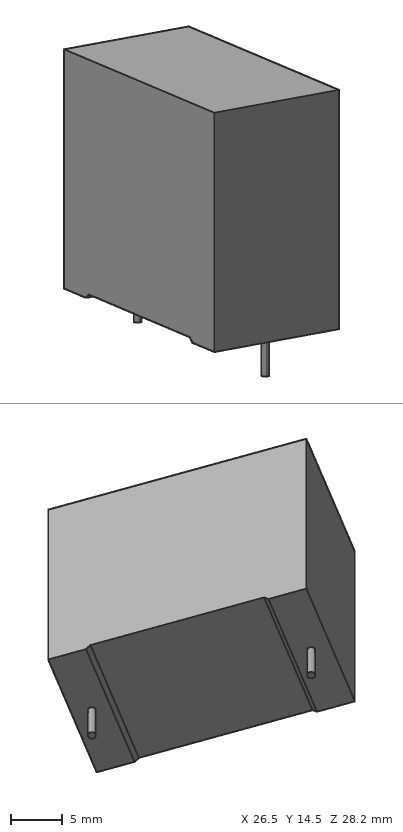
import cadquery as cq

length = 26.5
width = 14.5
total_height = 28.2

lead_diameter = 0.8
lead_pitch = 22.5
lead_length = 4.0
bridge_height = 2.82
bend_radius = lead_diameter

recess_height = 0.45
recess_length = 18.72

housing_height = total_height - lead_length


def make_recess():
    """Full-width cutter for the recess, narrower at its roof."""
    half_bottom = recess_length / 2
    half_roof = half_bottom - recess_height
    outline = [
        (-half_bottom, 0),
        (-half_roof, recess_height),
        (half_roof, recess_height),
        (half_bottom, 0),
    ]
    return cq.Workplane("XZ").polyline(outline).close().extrude(width / 2, both=True)


def make_lead():
    """One round wire bent into an upside-down U."""
    leg_x = lead_pitch / 2
    centreline = (
        cq.Workplane("XZ")
        .moveTo(-leg_x, -lead_length)
        .lineTo(-leg_x, bridge_height - bend_radius)
        .radiusArc((-leg_x + bend_radius, bridge_height), bend_radius)
        .lineTo(leg_x - bend_radius, bridge_height)
        .radiusArc((leg_x, bridge_height - bend_radius), bend_radius)
        .lineTo(leg_x, -lead_length)
    )
    section = cq.Workplane("XY", origin=(-leg_x, 0, -lead_length)).circle(lead_diameter / 2)
    return section.sweep(centreline)


def make_housing(wire):
    """Block with the recess underneath and a matching channel for the wire."""
    block = cq.Workplane("XY").box(length, width, housing_height, centered=(True, True, False))
    return block.cut(make_recess()).cut(wire)


lead = make_lead()
housing = make_housing(lead)

result = cq.Compound.makeCompound([housing.val(), lead.val()])